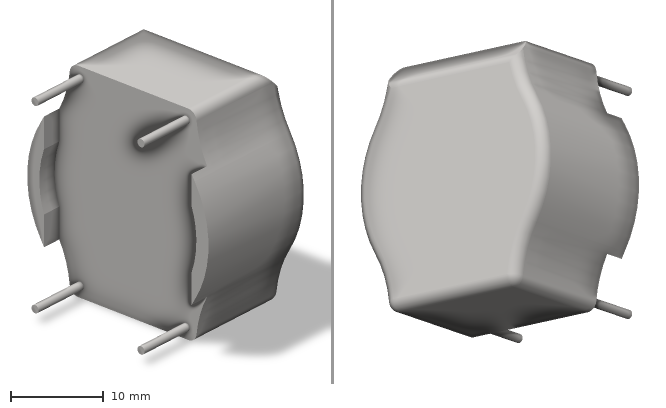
import cadquery as cq
import math

WIDTH = 25.9
HEIGHT = 27.9
TOTAL_DEPTH = 21.32
PIN_LENGTH = 7.42
BODY_DEPTH = TOTAL_DEPTH - PIN_LENGTH

SIDE_RADIUS = 13.87
LOBE_HALF_HEIGHT = 7.15

EDGE_RADIUS = 1.2
CHAMFER = 2.5

FOOT_LENGTH = 2.5
FOOT_INNER_X = 10.55
CLEARANCE_RADIUS_X = 11.22
CLEARANCE_RADIUS_Z = 11.55

PIN_DIAMETER = 1.0
PIN_PITCH_X = 15.12
PIN_PITCH_Z = 25.0


def extrude_y(start_y, depth, draw):
    """Extrude a closed XZ outline from the given Y toward +Y."""
    plane = cq.Workplane("XZ", origin=(0, start_y, 0))
    return draw(plane).extrude(-depth)


def draw_outline(plane):
    """Draw the body outline, symmetric about both axes."""
    half_width = WIDTH / 2
    half_height = HEIGHT / 2
    lobe_centre_x = half_width - SIDE_RADIUS
    lobe_run = math.sqrt(SIDE_RADIUS**2 - LOBE_HALF_HEIGHT**2)
    join_x = lobe_centre_x + lobe_run
    join_z = LOBE_HALF_HEIGHT

    flank_centre_x = join_x + lobe_run
    flank_centre_z = 2 * join_z

    def flank_x(z):
        return flank_centre_x - math.sqrt(SIDE_RADIUS**2 - (flank_centre_z - z) ** 2)

    corner_x = flank_x(half_height)
    middle_z = (join_z + half_height) / 2
    middle_x = flank_x(middle_z)
    return (
        plane.moveTo(-corner_x, half_height)
        .lineTo(corner_x, half_height)
        .threePointArc((middle_x, middle_z), (join_x, join_z))
        .threePointArc((half_width, 0), (join_x, -join_z))
        .threePointArc((middle_x, -middle_z), (corner_x, -half_height))
        .lineTo(-corner_x, -half_height)
        .threePointArc((-middle_x, -middle_z), (-join_x, -join_z))
        .threePointArc((-half_width, 0), (-join_x, join_z))
        .threePointArc((-middle_x, middle_z), (-corner_x, half_height))
        .close()
    )


def make_body():
    """Case with a chamfered top back edge and rounded corners and back rim."""
    body = extrude_y(0, BODY_DEPTH, draw_outline)
    body = body.faces(">Z").edges(">Y").chamfer(CHAMFER)
    body = body.faces("<Z").edges("|Y").fillet(EDGE_RADIUS)
    body = body.faces(">Z").edges("|Y or >Y").fillet(EDGE_RADIUS)
    return body.faces(">Y").edges().fillet(EDGE_RADIUS)


def make_feet():
    """Two side feet: the outline beyond the inner flats and the clearance."""
    feet = extrude_y(-FOOT_LENGTH, FOOT_LENGTH, draw_outline)
    middle_gap = extrude_y(
        -FOOT_LENGTH,
        FOOT_LENGTH,
        lambda plane: plane.rect(2 * FOOT_INNER_X, HEIGHT),
    )
    clearance = extrude_y(
        -FOOT_LENGTH,
        FOOT_LENGTH,
        lambda plane: plane.ellipse(CLEARANCE_RADIUS_X, CLEARANCE_RADIUS_Z),
    )
    return feet.cut(middle_gap).cut(clearance)


def make_pins():
    """Four round pins in a rectangular pattern."""
    return extrude_y(
        -PIN_LENGTH,
        PIN_LENGTH,
        lambda plane: plane.rarray(PIN_PITCH_X, PIN_PITCH_Z, 2, 2).circle(PIN_DIAMETER / 2),
    )


result = make_body().union(make_feet()).union(make_pins())